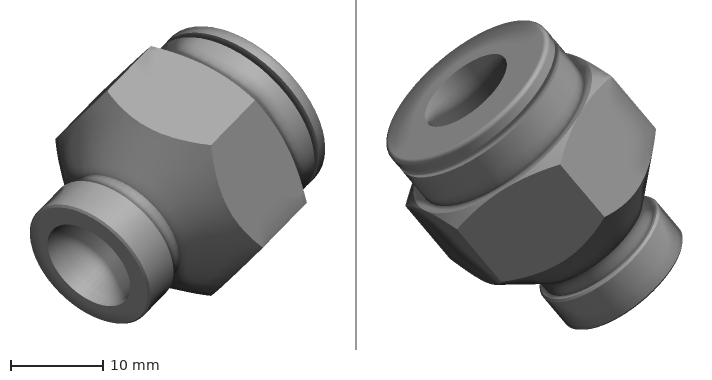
import cadquery as cq
import math

length = 29.2
collar_end = 4.75
neck_end = 6.6
hex_end = 22.4
barrel_end = 26.85
flange_start = 27.7

bore_radius = 5.52
collar_radius = 8.05
neck_radius = 7.33
barrel_radius = 10.92
groove_radius = 8.67

hex_flats = 24.0
hex_flat_radius = hex_flats / 2
hex_corner_radius = hex_flat_radius / math.cos(math.radians(30))
back_chamfer_angle = 30
collar_chamfer = 0.23
flange_fillet = 0.5


def cylinder(radius, start, end):
    """Solid cylinder along Y between two stations."""
    return cq.Workplane("XZ", origin=(0, start, 0)).circle(radius).extrude(start - end)


def hexagon_body():
    """Hexagon with corners on X, trimmed by a 45 degree front cone and a back chamfer."""
    prism = (
        cq.Workplane("XZ", origin=(0, neck_end, 0))
        .polygon(6, 2 * hex_corner_radius)
        .extrude(neck_end - hex_end)
    )
    corner_width = hex_corner_radius - hex_flat_radius
    chamfer_depth = corner_width * math.tan(math.radians(back_chamfer_angle))
    cone_end = neck_end + hex_corner_radius - neck_radius
    envelope = (
        cq.Workplane("XY")
        .moveTo(0, neck_end)
        .lineTo(neck_radius, neck_end)
        .lineTo(hex_corner_radius, cone_end)
        .lineTo(hex_corner_radius, hex_end - chamfer_depth)
        .lineTo(hex_flat_radius, hex_end)
        .lineTo(0, hex_end)
        .close()
        .revolve(360, (0, 0, 0), (0, 1, 0))
    )
    return prism.intersect(envelope)


collar = cylinder(collar_radius, 0, collar_end).edges().chamfer(collar_chamfer)
neck = cylinder(neck_radius, collar_end - collar_chamfer, neck_end)
barrel = cylinder(barrel_radius, hex_end, barrel_end)
groove_core = cylinder(groove_radius, barrel_end, flange_start)
flange = cylinder(barrel_radius, flange_start, length).edges(">Y").fillet(flange_fillet)
bore = cylinder(bore_radius, 0, length)

result = (
    hexagon_body()
    .union(neck)
    .union(collar)
    .union(barrel)
    .union(groove_core)
    .union(flange)
    .cut(bore)
)